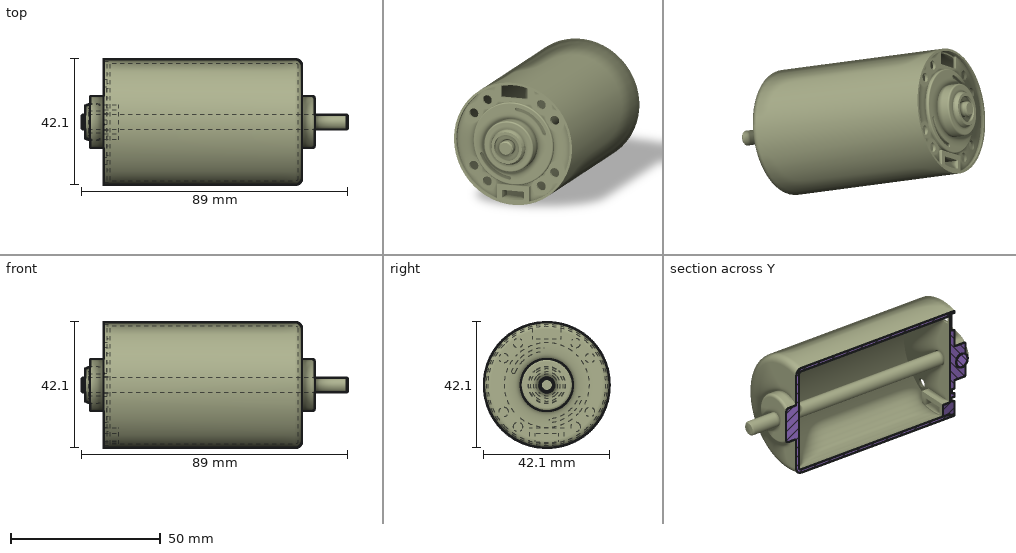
import cadquery as cq
import math


can_radius = 21.05
can_length = 66.4
can_wall = 1.4
can_edge_fillet = 2.4
can_inner_fillet = 0.75
can_inner_radius = can_radius - can_wall
mouth_radius = 20.25
front_boss_length = 4.2
front_boss_fillet = 1.0

boss_radius = 8.75

cap_recess = 1.2
cap_thickness = 1.0
cap_back = cap_recess + cap_thickness
disc_radius = 14.2
disc_fillet = 0.4
rear_boss_length = 4.5
rear_boss_fillet = 0.5
cap_hole_diameter = 3.2
cap_hole_circle_radius = 17.0
cap_hole_angles = (32.0, 55.5)
slot_width = 1.3
slot_radius = 12.0
slot_depth = 1.0
slot_start_angle = 22.0
slot_end_angle = 83.3
slot_end_turn = math.degrees(slot_width / 2 / slot_radius)
window_width = 9.4
window_floor = 15.4

block_width = 11.5
block_top = 14.33
block_depth = 5.0
block_opening_width = 7.9
block_opening_top = 16.2
block_opening_radius = 19.3

ball_radius = 6.25
ball_center = -3.1
bearing_half_length = 3.05
bearing_start = ball_center - bearing_half_length
bearing_end = ball_center + bearing_half_length
bearing_recess_radius = 4.45
bearing_recess_depth = 1.2
sleeve_start = bearing_start + bearing_recess_depth
sleeve_radius = 3.65
sleeve_bore_chamfer = 0.3

shaft_radius = 2.5
shaft_length = 89.0
shaft_start = -7.3
shaft_chamfer = 0.45
cap_bore_clearance = 0.3


def cylinder(radius, start, end):
    """Solid cylinder about the X axis between two x positions."""
    return cq.Workplane("YZ", origin=(start, 0, 0)).circle(radius).extrude(end - start)


def box(width, bottom, top, start, end):
    """Box centred on y = 0 between two z heights and two x positions."""
    height = top - bottom
    middle = (bottom + top) / 2
    plane = cq.Workplane("YZ", origin=(start, 0, middle))
    return plane.rect(width, height).extrude(end - start)


def make_can():
    body = cylinder(can_radius, 0, can_length).faces(">X").edges().fillet(can_edge_fillet)
    boss_end = can_length + front_boss_length
    boss = cylinder(boss_radius, can_length, boss_end).faces(">X").edges().fillet(front_boss_fillet)
    cavity = cylinder(can_inner_radius, 0, can_length - can_wall)
    cavity = cavity.faces(">X").edges().fillet(can_inner_fillet)
    mouth = cylinder(mouth_radius, 0, cap_back)
    shaft_bore = cylinder(shaft_radius, 0, boss_end)
    return body.union(boss).cut(cavity).cut(mouth).cut(shaft_bore)


def make_ball():
    """Sphere with its two ends cut flat."""
    ball = cq.Workplane("XY", origin=(ball_center, 0, 0)).sphere(ball_radius)
    return ball.intersect(cylinder(ball_radius, bearing_start, bearing_end))


def make_block_blank():
    """Block outline: straight top and sides, bottom following the mouth and then the bore of the can."""
    blank = box(block_width, -can_radius, -block_top, 0, block_depth)
    can_space = cylinder(mouth_radius, 0, cap_back).union(cylinder(can_inner_radius, 0, block_depth))
    return blank.intersect(can_space)


def slot_point(radius, angle):
    """Point on the cap face; the angle in degrees runs from -Y towards +Z."""
    turn = math.radians(angle)
    return (-radius * math.cos(turn), radius * math.sin(turn))


def make_arc_slot():
    """Curved slot with round ends, centred on the motor axis."""
    middle_angle = (slot_start_angle + slot_end_angle) / 2
    inner = slot_radius - slot_width / 2
    outer = slot_radius + slot_width / 2
    past_start = slot_point(slot_radius, slot_start_angle - slot_end_turn)
    past_end = slot_point(slot_radius, slot_end_angle + slot_end_turn)
    return (
        cq.Workplane("YZ")
        .moveTo(*slot_point(inner, slot_start_angle))
        .threePointArc(slot_point(inner, middle_angle), slot_point(inner, slot_end_angle))
        .threePointArc(past_end, slot_point(outer, slot_end_angle))
        .threePointArc(slot_point(outer, middle_angle), slot_point(outer, slot_start_angle))
        .threePointArc(past_start, slot_point(inner, slot_start_angle))
        .close()
        .extrude(slot_depth)
    )


def make_cap():
    plate = cylinder(mouth_radius, cap_recess, cap_back)
    disc = cylinder(disc_radius, 0, cap_recess).faces("<X").edges().fillet(disc_fillet)
    boss = cylinder(boss_radius, -rear_boss_length, 0).faces("<X").edges().fillet(rear_boss_fillet)
    cap = plate.union(disc).union(boss)

    hole_points = []
    for angle in cap_hole_angles:
        y = cap_hole_circle_radius * math.cos(math.radians(angle))
        z = cap_hole_circle_radius * math.sin(math.radians(angle))
        hole_points += [(y, z), (-y, z), (y, -z), (-y, -z)]
    holes = (
        cq.Workplane("YZ", origin=(cap_recess, 0, 0))
        .pushPoints(hole_points)
        .circle(cap_hole_diameter / 2)
        .extrude(cap_thickness)
    )
    cap = cap.cut(holes)

    for turn in (0, 180):
        cap = cap.cut(make_arc_slot().rotate((0, 0, 0), (1, 0, 0), turn))

    cap = cap.cut(box(window_width, window_floor, can_radius, cap_recess, cap_back))
    cap = cap.cut(make_block_blank())
    cap = cap.cut(make_ball())
    return cap.cut(cylinder(shaft_radius + cap_bore_clearance, ball_center, cap_back))


def make_block():
    opening = box(block_opening_width, -can_radius, -block_opening_top, 0, block_depth)
    opening = opening.intersect(cylinder(block_opening_radius, 0, block_depth))
    return make_block_blank().cut(opening)


def make_bearing():
    recess = cylinder(bearing_recess_radius, bearing_start, sleeve_start)
    sleeve_seat = cylinder(sleeve_radius, sleeve_start, bearing_end)
    return make_ball().cut(recess).cut(sleeve_seat)


def make_sleeve():
    sleeve = cylinder(sleeve_radius, sleeve_start, bearing_end)
    sleeve = sleeve.cut(cylinder(shaft_radius, sleeve_start, bearing_end))
    bore_edge = sleeve.faces("<X").edges(cq.selectors.RadiusNthSelector(0))
    return bore_edge.chamfer(sleeve_bore_chamfer)


def make_shaft():
    shaft = cylinder(shaft_radius, shaft_start, shaft_start + shaft_length)
    return shaft.faces("<X or >X").edges().chamfer(shaft_chamfer)


can = make_can()
cap = make_cap()
terminal_block = make_block()
bearing = make_bearing()
sleeve = make_sleeve()
shaft = make_shaft()

result = cq.Compound.makeCompound(
    [can.val(), cap.val(), terminal_block.val(), bearing.val(), sleeve.val(), shaft.val()]
)